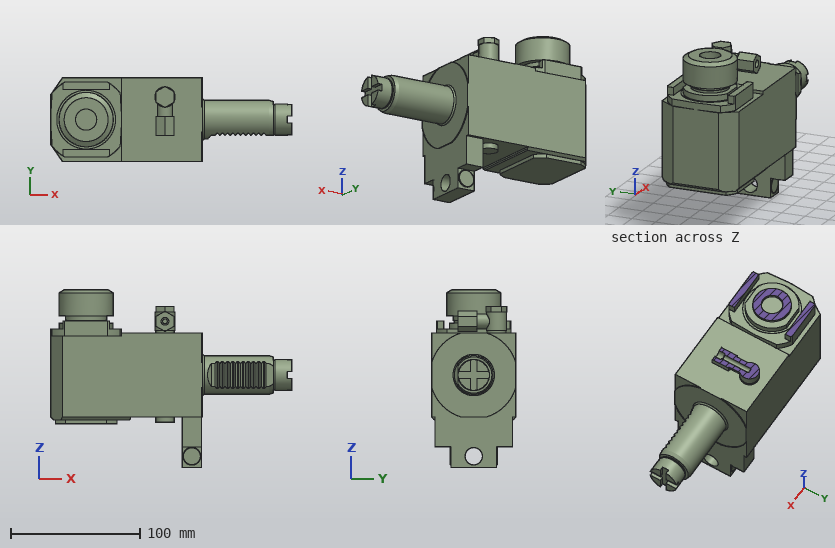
import cadquery as cq
import math


BODY_WIDTH = 65.0
BODY_HALF = BODY_WIDTH / 2
BODY_END = 116.7
CORNER_X = 9.1
CORNER_Y = 13.2
STEP_TOP_Z = 30.0
END_DISC_RADIUS = 34.0
END_DISC_X = 117.5
SLAB_BOTTOM_Z = -34.9
SLAB_END = 61.7
SLAB_CHAMFER = 2.2
SLAB_END_CHAMFER = 1.0

SPINDLE_X = 27.5
PLATE_HALF_Y = 29.0
PLATE_SIDE_X = 26.3
PLATE_CREST_HALF_Y = 2.0
PLATE_RADIUS = 33.4
PLATE_TOP_Z = 35.6
BAR_HALF_X = 18.0
BAR_INNER_Y = 23.1
BAR_TOP_Z = 42.0
SEAT_RADIUS = 22.8
SEAT_DEPTH = 0.4
COVER_HALF_X = 23.9
COVER_HALF_Y = 30.0
COVER_RADIUS = 34.0
COVER_BOTTOM_Z = -37.9

COLLAR_RADIUS = 20.9
COLLAR_HALF_FLATS = 18.8
COLLAR_TOP_Z = 40.1
LOWER_NECK_RADIUS = 15.1
LOWER_NECK_TOP_Z = 42.3
NECK_RADIUS = 16.0
HEAD_BOTTOM_Z = 45.7
HEAD_RADIUS = 21.0
HEAD_FACE_RADIUS = 17.0
HEAD_EDGE_Z = 63.6
HEAD_TOP_Z = 66.0
BORE_RADIUS = 8.2
BORE_DEPTH = 26.1

SHANK_DIAMETER = 30.0
SHANK_RADIUS = SHANK_DIAMETER / 2
FLANGE_RADIUS = 16.0
FLANGE_END = 118.8
SHANK_BEVEL_START = 169.0
SHANK_END = 172.3
SHANK_END_RADIUS = 14.0
UNDERCUT_RADIUS = 11.5
TAIL_START = 173.5
TAIL_RADIUS = 12.1
TOTAL_LENGTH = 186.5
SLOT_WIDTH = 5.2
SLOT_START = 183.1
FLAT_Y = -12.1
FLAT_START = 124.2
GROOVE_COUNT = 10
FIRST_GROOVE_X = 128.9
LAST_GROOVE_X = 164.9
GROOVE_PITCH = (LAST_GROOVE_X - FIRST_GROOVE_X) / (GROOVE_COUNT - 1)
GROOVE_DEPTH = 1.5
GROOVE_MOUTH = 3.7
GROOVE_ROOT = 0.7

ELBOW_X = 88.4
ELBOW_Y = 17.5
WASHER_RADIUS = 7.3
ELBOW_RADIUS = 7.8
ELBOW_BOTTOM_Z = 34.3
ELBOW_TOP_Z = 48.7
BOLT_FLATS = 14.2
BOLT_TOP_Z = 53.2
ARM_RADIUS = 5.8
NUT_FLATS = 13.6
NUT_START_Y = 2.5
NUT_END_Y = -12.3
NUT_BORE_RADIUS = 3.0
NUT_BORE_DEPTH = 5.6
NUT_INNER_RADIUS = 1.9
PLUG_RADIUS = 7.3
PLUG_BOTTOM_Z = -36.7

BRACKET_X = 101.6
BRACKET_HALF_Y = 30.0
BRACKET_STEP_Z = -55.5
BRACKET_BOTTOM_Z = -71.6
FOOT_HALF_Y = 17.7
FOOT_HOLE_Z = -62.9
FOOT_HOLE_DIAMETER = 13.2
FOOT_HOLE_RADIUS = FOOT_HOLE_DIAMETER / 2
BUTTON_RADIUS = 6.9
BUTTON_HEIGHT = 0.5
BUTTON_CHAMFER = 0.4


def box(x0, x1, y0, y1, z0, z1):
    """Box between two opposite corners."""
    return cq.Workplane("XY").box(x1 - x0, y1 - y0, z1 - z0, centered=False).translate((x0, y0, z0))


def post(x, y, radius, z0, z1):
    """Upright cylinder."""
    return cq.Workplane("XY", origin=(x, y, z0)).circle(radius).extrude(z1 - z0)


def hexagon(flats):
    """Corner points of a hexagon with its flats square to the first axis."""
    corner_radius = flats / math.sqrt(3)
    angles = [math.radians(30 + 60 * i) for i in range(6)]
    return [(corner_radius * math.cos(a), corner_radius * math.sin(a)) for a in angles]


def cornered_prism(end_x, z0, z1):
    """Body outline with both left corners cut, up to end_x."""
    half_front = BODY_HALF - CORNER_Y
    outline = [
        (0, -half_front), (CORNER_X, -BODY_HALF), (end_x, -BODY_HALF),
        (end_x, BODY_HALF), (CORNER_X, BODY_HALF), (0, half_front),
    ]
    return cq.Workplane("XY", origin=(0, 0, z0)).polyline(outline).close().extrude(z1 - z0)


def make_body():
    section = box(0, BODY_END, -BODY_HALF, BODY_HALF, -BODY_HALF, BODY_HALF)
    slab = box(0, SLAB_END, -BODY_HALF, BODY_HALF, SLAB_BOTTOM_Z, 0)
    slab = slab.faces("<Z").edges("not >X").chamfer(SLAB_CHAMFER)
    slab = slab.faces("<Z").edges(">X").chamfer(SLAB_END_CHAMFER)
    body = section.union(slab).intersect(cornered_prism(BODY_END, SLAB_BOTTOM_Z, BODY_HALF))
    disc = cq.Workplane("YZ", origin=(BODY_END, 0, 0)).circle(END_DISC_RADIUS).extrude(END_DISC_X - BODY_END)
    disc = disc.intersect(section.translate((END_DISC_X - BODY_END, 0, 0)))
    seat = box(0, 2 * SPINDLE_X, -BODY_HALF, BODY_HALF, STEP_TOP_Z, BODY_HALF)
    return body.union(disc).cut(seat)


def make_spindle_plate():
    half_corner_y = math.sqrt(PLATE_RADIUS**2 - PLATE_SIDE_X**2)
    outline = [
        (-PLATE_SIDE_X, -PLATE_HALF_Y), (PLATE_SIDE_X, -PLATE_HALF_Y),
        (PLATE_SIDE_X, -half_corner_y), (SPINDLE_X, -PLATE_CREST_HALF_Y),
        (SPINDLE_X, PLATE_CREST_HALF_Y), (PLATE_SIDE_X, half_corner_y),
        (PLATE_SIDE_X, PLATE_HALF_Y), (-PLATE_SIDE_X, PLATE_HALF_Y),
        (-PLATE_SIDE_X, half_corner_y), (-SPINDLE_X, PLATE_CREST_HALF_Y),
        (-SPINDLE_X, -PLATE_CREST_HALF_Y), (-PLATE_SIDE_X, -half_corner_y),
    ]
    block = cq.Workplane("XY", origin=(SPINDLE_X, 0, STEP_TOP_Z)).polyline(outline).close()
    block = block.extrude(BAR_TOP_Z - STEP_TOP_Z)
    block = block.intersect(post(SPINDLE_X, 0, PLATE_RADIUS, STEP_TOP_Z, BAR_TOP_Z))
    keep = box(0, 2 * SPINDLE_X, -BODY_HALF, BODY_HALF, STEP_TOP_Z, PLATE_TOP_Z)
    bar_x0 = SPINDLE_X - BAR_HALF_X
    bar_x1 = SPINDLE_X + BAR_HALF_X
    keep = keep.union(box(bar_x0, bar_x1, BAR_INNER_Y, BODY_HALF, STEP_TOP_Z, BAR_TOP_Z))
    keep = keep.union(box(bar_x0, bar_x1, -BODY_HALF, -BAR_INNER_Y, STEP_TOP_Z, BAR_TOP_Z))
    seat = post(SPINDLE_X, 0, SEAT_RADIUS, PLATE_TOP_Z - SEAT_DEPTH, PLATE_TOP_Z)
    return block.intersect(keep).cut(seat)


def make_bottom_cover():
    cover = box(
        SPINDLE_X - COVER_HALF_X, SPINDLE_X + COVER_HALF_X,
        -COVER_HALF_Y, COVER_HALF_Y, COVER_BOTTOM_Z, SLAB_BOTTOM_Z,
    )
    return cover.intersect(post(SPINDLE_X, 0, COVER_RADIUS, COVER_BOTTOM_Z, SLAB_BOTTOM_Z))


def make_spindle():
    collar = post(SPINDLE_X, 0, COLLAR_RADIUS, STEP_TOP_Z, COLLAR_TOP_Z)
    collar = collar.intersect(
        box(0, 2 * SPINDLE_X, -COLLAR_HALF_FLATS, COLLAR_HALF_FLATS, STEP_TOP_Z, COLLAR_TOP_Z)
    )
    profile = [
        (0, STEP_TOP_Z), (LOWER_NECK_RADIUS, STEP_TOP_Z),
        (LOWER_NECK_RADIUS, LOWER_NECK_TOP_Z), (NECK_RADIUS, LOWER_NECK_TOP_Z),
        (NECK_RADIUS, HEAD_BOTTOM_Z), (HEAD_RADIUS, HEAD_BOTTOM_Z),
        (HEAD_RADIUS, HEAD_EDGE_Z), (HEAD_FACE_RADIUS, HEAD_TOP_Z), (0, HEAD_TOP_Z),
    ]
    head = cq.Workplane("XZ").polyline(profile).close().revolve(360, (0, 0), (0, 1))
    return collar.union(head.translate((SPINDLE_X, 0, 0)))


def make_shank():
    profile = [
        (BODY_END, 0), (BODY_END, FLANGE_RADIUS), (END_DISC_X, FLANGE_RADIUS),
        (FLANGE_END, SHANK_RADIUS), (SHANK_BEVEL_START, SHANK_RADIUS),
        (SHANK_END, SHANK_END_RADIUS), (SHANK_END, UNDERCUT_RADIUS), (TAIL_START, UNDERCUT_RADIUS),
        (TAIL_START, TAIL_RADIUS), (TOTAL_LENGTH, TAIL_RADIUS), (TOTAL_LENGTH, 0),
    ]
    shank = cq.Workplane("XY").polyline(profile).close().revolve(360, (0, 0), (1, 0))

    run_in = SHANK_RADIUS + FLAT_Y
    flat = [
        (FLAT_START, FLAT_Y), (SHANK_END, FLAT_Y),
        (SHANK_END, -SHANK_RADIUS), (FLAT_START - run_in, -SHANK_RADIUS),
    ]
    shank = shank.cut(cq.Workplane("XY").polyline(flat).close().extrude(SHANK_RADIUS, both=True))

    root_y = FLAT_Y + GROOVE_DEPTH
    for i in range(GROOVE_COUNT):
        x = FIRST_GROOVE_X + i * GROOVE_PITCH
        groove = [
            (x - GROOVE_MOUTH / 2, FLAT_Y), (x - GROOVE_ROOT / 2, root_y),
            (x + GROOVE_ROOT / 2, root_y), (x + GROOVE_MOUTH / 2, FLAT_Y),
        ]
        shank = shank.cut(cq.Workplane("XY").polyline(groove).close().extrude(SHANK_RADIUS, both=True))

    half_slot = SLOT_WIDTH / 2
    slot = box(SLOT_START, TOTAL_LENGTH, -TAIL_RADIUS, TAIL_RADIUS, -half_slot, half_slot)
    return shank.cut(slot).cut(slot.rotate((0, 0, 0), (1, 0, 0), 90))


def make_coolant_elbow():
    arm_z = (ELBOW_BOTTOM_Z + ELBOW_TOP_Z) / 2
    elbow = post(ELBOW_X, ELBOW_Y, WASHER_RADIUS, BODY_HALF, ELBOW_BOTTOM_Z)
    elbow = elbow.union(post(ELBOW_X, ELBOW_Y, ELBOW_RADIUS, ELBOW_BOTTOM_Z, ELBOW_TOP_Z))
    bolt = cq.Workplane("XY", origin=(ELBOW_X, ELBOW_Y, ELBOW_TOP_Z)).polyline(hexagon(BOLT_FLATS)).close()
    elbow = elbow.union(bolt.extrude(BOLT_TOP_Z - ELBOW_TOP_Z))
    arm = cq.Workplane("XZ", origin=(ELBOW_X, ELBOW_Y, arm_z)).circle(ARM_RADIUS)
    elbow = elbow.union(arm.extrude(ELBOW_Y - NUT_START_Y))
    nut = cq.Workplane("XZ", origin=(ELBOW_X, NUT_START_Y, arm_z)).polyline(hexagon(NUT_FLATS)).close()
    elbow = elbow.union(nut.extrude(NUT_START_Y - NUT_END_Y))
    nut_face = cq.Workplane("XZ", origin=(ELBOW_X, NUT_END_Y, arm_z))
    elbow = elbow.cut(nut_face.circle(NUT_BORE_RADIUS).extrude(-NUT_BORE_DEPTH))
    return elbow.cut(nut_face.circle(NUT_INNER_RADIUS).extrude(NUT_END_Y - ELBOW_Y))


def make_bracket():
    bracket = box(BRACKET_X, BODY_END, -BRACKET_HALF_Y, BRACKET_HALF_Y, BRACKET_STEP_Z, -BODY_HALF)
    foot = box(BRACKET_X, BODY_END, -FOOT_HALF_Y, FOOT_HALF_Y, BRACKET_BOTTOM_Z, BRACKET_STEP_Z)
    bracket = bracket.union(foot)
    middle_x = (BRACKET_X + BODY_END) / 2
    half_buttons = FOOT_HALF_Y + BUTTON_HEIGHT
    buttons = cq.Workplane("XZ", origin=(middle_x, 0, FOOT_HOLE_Z)).circle(BUTTON_RADIUS)
    buttons = buttons.extrude(half_buttons, both=True)
    buttons = buttons.faces("<Y or >Y").edges().chamfer(BUTTON_CHAMFER)
    bracket = bracket.union(buttons)
    hole = cq.Workplane("YZ", origin=(BRACKET_X, 0, FOOT_HOLE_Z)).circle(FOOT_HOLE_RADIUS)
    return bracket.cut(hole.extrude(BODY_END - BRACKET_X))


result = (
    make_body()
    .union(make_spindle_plate())
    .union(make_bottom_cover())
    .union(make_spindle())
    .union(make_shank())
    .union(make_coolant_elbow())
    .union(post(ELBOW_X, ELBOW_Y, PLUG_RADIUS, PLUG_BOTTOM_Z, -BODY_HALF))
    .union(make_bracket())
    .cut(post(SPINDLE_X, 0, BORE_RADIUS, HEAD_TOP_Z - BORE_DEPTH, HEAD_TOP_Z))
)